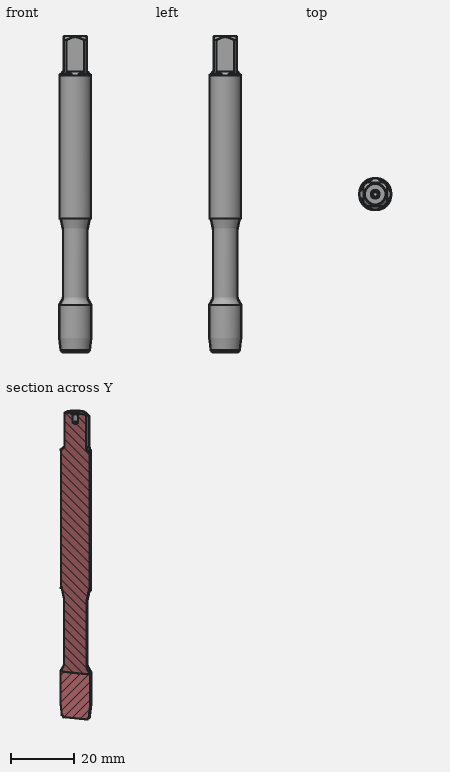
import cadquery as cq
import math

total_length = 100.0
thread_length = 15.0
lead_length = 4.5
neck_bottom = 17.3
neck_top = 39.0
shank_bottom = 42.3
square_length = 11.2
shank_top = 87.5

thread_diameter = 10.18
lead_diameter = 9.29
neck_diameter = 7.88
tip_diameter = neck_diameter
tip_chamfer = (lead_diameter - tip_diameter) / 2
neck_shoulder_diameter = 9.29
shank_diameter = 10.0
square_corner_diameter = 9.29

square_sides = 4
square_width = 7.4
end_face_diameter = 6.6
end_chamfer_angle = math.radians(45)
shoulder_length = 0.6
runout_angle = math.radians(45)

cone_start_diameter = 8.2
cone_start = 16.7

centre_hole_diameter = 1.6
centre_hole_depth = 3.0
countersink_diameter = 2.65
countersink_half_angle = math.radians(45)
drill_point_slope = math.radians(30)


def revolve_profile(stations):
    """Turn a solid about Z from (diameter, height) stations listed from bottom to top.

    A first station of zero diameter gives the solid a pointed lower end.
    """
    outline = [(diameter / 2, height) for diameter, height in stations]
    if stations[0][0] > 0:
        outline.insert(0, (0, stations[0][1]))
    outline.append((0, stations[-1][1]))
    return cq.Workplane("XZ").polyline(outline).close().revolve(360, (0, 0), (0, 1))


def make_thread():
    """Threaded head: tip chamfer, tapered lead and a plain cylinder at the major diameter."""
    return revolve_profile([
        (tip_diameter, 0),
        (lead_diameter, tip_chamfer),
        (thread_diameter, lead_length),
        (thread_diameter, thread_length),
    ])


def make_turned_shank():
    """Cone behind the thread, neck, shank and chamfered round drive end."""
    end_chamfer_length = (square_corner_diameter - end_face_diameter) / 2 * math.tan(end_chamfer_angle)
    return revolve_profile([
        (thread_diameter, thread_length),
        (cone_start_diameter, cone_start),
        (neck_diameter, neck_bottom),
        (neck_diameter, neck_top),
        (neck_shoulder_diameter, shank_bottom),
        (shank_diameter, shank_bottom),
        (shank_diameter, shank_top),
        (square_corner_diameter, shank_top + shoulder_length),
        (square_corner_diameter, total_length - end_chamfer_length),
        (end_face_diameter, total_length),
    ])


def make_flat_cutter():
    """Cutter for one flat on the +X side, with a sloping runout at the lower end."""
    flat_distance = square_width / 2
    flat_bottom = total_length - square_length
    outer_distance = shank_diameter
    runout_drop = (outer_distance - flat_distance) * math.tan(runout_angle)
    return (
        cq.Workplane("XZ")
        .polyline([
            (flat_distance, total_length),
            (flat_distance, flat_bottom),
            (outer_distance, flat_bottom - runout_drop),
            (outer_distance, total_length),
        ])
        .close()
        .extrude(shank_diameter, both=True)
    )


def make_centre_hole():
    """Centre hole with a countersink down to the drill diameter and a drill point."""
    countersink_depth = (countersink_diameter - centre_hole_diameter) / 2 / math.tan(countersink_half_angle)
    drill_point_length = centre_hole_diameter / 2 * math.tan(drill_point_slope)
    return revolve_profile([
        (0, total_length - centre_hole_depth - drill_point_length),
        (centre_hole_diameter, total_length - centre_hole_depth),
        (centre_hole_diameter, total_length - countersink_depth),
        (countersink_diameter, total_length),
    ])


def make_shank():
    """Turned shank with a four-sided square drive and a centre hole."""
    shank = make_turned_shank()
    flat_cutter = make_flat_cutter()
    for side in range(square_sides):
        shank = shank.cut(flat_cutter.rotate((0, 0, 0), (0, 0, 1), 360 / square_sides * side))
    return shank.cut(make_centre_hole())


thread = make_thread()
shank = make_shank()
result = cq.Compound.makeCompound([thread.val(), shank.val()])